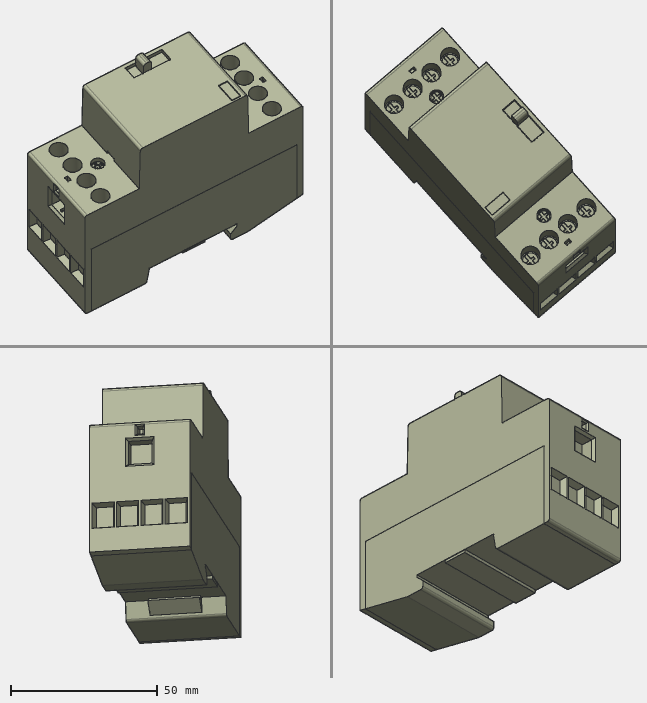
import cadquery as cq
LENGTH = 90.0
WIDTH = 35.0
TOTAL_HEIGHT = 74.6
HALF_LENGTH = LENGTH / 2
EDGE_RADIUS = 1.0

LEDGE_Z = 50.6
BLOCK_TOP_Z = 70.7
BLOCK_FOOT_Y = 22.6
BLOCK_TOP_Y = 22.1
BLOCK_RADIUS = 1.1

SLOPE_END_Z = 4.9
SLOPE_FOOT_Y = 22.3
HOOK_TIP_Y = 15.1
HOOK_TIP_Z = 3.2
HOOK_ROOT_Y = 17.8
HOOK_ROOT_Z = 5.85
SEAT_Z = 6.8
FOOT_TOP_Y = -18.4
FOOT_BOTTOM_Y = -19.5

WALL = 2.6
BASE_TOP_Z = 31.95
BASE_HALF_LENGTH = HALF_LENGTH - WALL

PAD_FOOT_Y = 4.6
PAD_ROOT_Y = 4.9
PAD_HEIGHT = 1.1
PAD_WIDTH = 34.65
LATCH_WIDTH = 18.0
LATCH_TIP_Y = -14.7
LATCH_NECK_Y = -16.5
LATCH_TOP_Z = 5.7
LATCH_HEEL_Y = -18.9
LATCH_HEEL_Z = 1.6

TERMINAL_COUNT = 4
TERMINAL_PITCH = 8.5
TERMINAL_Y = 35.4
TERMINAL_RADIUS = 3.2
TERMINAL_DEPTH = 7.2
TERMINAL_HEAD_RADIUS = 2.7
COIL_SCREW_Y = 27.8
COIL_SCREW_RADIUS = 2.4
COIL_SCREW_DEPTH = 1.4
COIL_HEAD_RADIUS = 2.0
HEAD_BEVEL = 0.4
SCREW_SLOT_WIDTH = 1.1
SCREW_SLOT_DEPTH = 0.7
CROSS_SLOT_WIDTH = 0.8
CROSS_SLOT_LENGTH = 3.2

WINDOW_WIDTH = 7.7
WINDOW_HEIGHT = 9.0
WINDOW_BOTTOM_Z = 13.3
WINDOW_TAPER = 0.9

COIL_WINDOW_SIZE = 10.1
COIL_WINDOW_Z = 39.9
COIL_FRAME_TAPER = 0.9
COIL_FRAME_DEPTH = 1.0
COIL_WINDOW_DEPTH = 5.4
FLOOR_SLOT_WIDTH = 1.1
FLOOR_SLOT_DEPTH = 1.1
FLOOR_SLOT_SETBACK = 2.1

CHANNEL_WIDTH = 2.1
CHANNEL_BOTTOM_Z = 46.3
CHANNEL_TOP_Z = 49.05
CHANNEL_DEPTH = 5.4
CHANNEL_FLOOR_RISE = 0.6
CHANNEL_FRAME_TAPER = 0.5
CHANNEL_FRAME_DEPTH = 0.5
CHANNEL_EXIT_LENGTH = 1.3

NOTCH_WIDTH = 4.05
NOTCH_HEIGHT = 1.0
NOTCH_DEPTH = 2.25

LABEL_X = 12.5
LABEL_Y = 18.1
LABEL_WIDTH = 8.1
LABEL_LENGTH = 3.6
LABEL_DEPTH = 0.4
LEVER_X = -13.3
LEVER_Y = 0.1
SLOT_WIDTH = 5.4
SLOT_LENGTH = 15.1
SLOT_Y = 1.9
SLOT_DEPTH = 1.4
LEVER_WIDTH = 4.9
LEVER_THICKNESS = 3.2
LEVER_RADIUS = 1.2


def slab(points, width):
    """Outline in the YZ plane, extruded symmetrically along X."""
    return cq.Workplane("YZ").polyline(points).close().extrude(width / 2, both=True)


def box(width, length, height, x, y, bottom_z):
    """Box centred on x and y, standing on bottom_z."""
    return (
        cq.Workplane("XY", origin=(x, y, bottom_z))
        .rect(width, length)
        .extrude(height)
    )


def with_mirror(tool):
    """The tool together with its mirror image at the +Y end."""
    return tool.union(tool.mirror("XZ"))


def end_taper(x, z, width, height, taper, depth):
    """Rectangular opening in the -Y wall that narrows by taper on each side over depth."""
    return (
        cq.Workplane("XZ", origin=(x, -HALF_LENGTH, z))
        .rect(width, height)
        .workplane(offset=-depth)
        .rect(width - 2 * taper, height - 2 * taper)
        .loft(ruled=True)
    )


def end_box(x, z, width, height, depth):
    """Rectangular pocket cut into the -Y wall."""
    return (
        cq.Workplane("XZ", origin=(x, -HALF_LENGTH, z))
        .rect(width, height)
        .extrude(-depth)
    )


def rounded_x_edge(body, y, z, radius):
    """Round the edge along X that runs through (y, z)."""
    return body.edges(cq.selectors.NearestToPointSelector((0, y, z))).fillet(radius)


def envelope():
    """Solid outer shape shared by the housing and the base."""
    outline = [
        (-HALF_LENGTH, 0),
        (-HALF_LENGTH, LEDGE_Z),
        (-BLOCK_FOOT_Y, LEDGE_Z),
        (-BLOCK_TOP_Y, BLOCK_TOP_Z),
        (BLOCK_TOP_Y, BLOCK_TOP_Z),
        (BLOCK_FOOT_Y, LEDGE_Z),
        (HALF_LENGTH, LEDGE_Z),
        (HALF_LENGTH, SLOPE_END_Z),
        (SLOPE_FOOT_Y, 0),
        (HOOK_TIP_Y, 0),
        (HOOK_TIP_Y, HOOK_TIP_Z),
        (HOOK_ROOT_Y, HOOK_ROOT_Z),
        (HOOK_ROOT_Y, SEAT_Z),
        (FOOT_TOP_Y, SEAT_Z),
        (FOOT_BOTTOM_Y, 0),
    ]
    body = slab(outline, WIDTH)
    for y, z, radius in (
        (-HALF_LENGTH, 0, EDGE_RADIUS),
        (-HALF_LENGTH, LEDGE_Z, EDGE_RADIUS),
        (HALF_LENGTH, LEDGE_Z, EDGE_RADIUS),
        (-BLOCK_TOP_Y, BLOCK_TOP_Z, BLOCK_RADIUS),
        (BLOCK_TOP_Y, BLOCK_TOP_Z, BLOCK_RADIUS),
        (HOOK_TIP_Y, 0, EDGE_RADIUS),
        (FOOT_BOTTOM_Y, 0, EDGE_RADIUS),
    ):
        body = rounded_x_edge(body, y, z, radius)
    return body


def base_space():
    """Region of the envelope that belongs to the base."""
    return box(WIDTH, 2 * BASE_HALF_LENGTH, BASE_TOP_Z, 0, 0, 0)


def screw_hole(x, y, radius, depth, head_radius):
    """Round hole from the ledge down onto a bevelled screw head with a slot and a cross slot."""
    floor_z = LEDGE_Z - depth
    hole = cq.Workplane("XY", origin=(x, y, floor_z)).circle(radius).extrude(depth)
    rim = cq.Workplane("XY", origin=(x, y, floor_z)).circle(radius).extrude(-HEAD_BEVEL)
    head = (
        cq.Workplane("XY", origin=(x, y, floor_z - HEAD_BEVEL))
        .circle(radius)
        .workplane(offset=HEAD_BEVEL)
        .circle(head_radius)
        .loft()
    )
    slot_z = floor_z - SCREW_SLOT_DEPTH
    slot = box(SCREW_SLOT_WIDTH, 2 * head_radius, SCREW_SLOT_DEPTH, x, y, slot_z)
    cross = box(CROSS_SLOT_LENGTH, CROSS_SLOT_WIDTH, SCREW_SLOT_DEPTH, x, y, slot_z)
    return hole.union(rim.cut(head)).union(slot).union(cross)


def terminal_positions():
    """X centres of the terminals, symmetric about the middle."""
    return [(i - (TERMINAL_COUNT - 1) / 2) * TERMINAL_PITCH for i in range(TERMINAL_COUNT)]


def coil_window():
    """Square window in the -Y wall: a bevelled frame and a straight pocket with a slot in its floor."""
    inner_size = COIL_WINDOW_SIZE - 2 * COIL_FRAME_TAPER
    frame = end_taper(
        0, COIL_WINDOW_Z, COIL_WINDOW_SIZE, COIL_WINDOW_SIZE, COIL_FRAME_TAPER, COIL_FRAME_DEPTH
    )
    pocket = end_box(0, COIL_WINDOW_Z, inner_size, inner_size, COIL_WINDOW_DEPTH)
    slot_length = COIL_WINDOW_DEPTH - FLOOR_SLOT_SETBACK
    slot = box(
        FLOOR_SLOT_WIDTH,
        slot_length,
        FLOOR_SLOT_DEPTH,
        0,
        COIL_WINDOW_DEPTH - slot_length / 2 - HALF_LENGTH,
        COIL_WINDOW_Z - inner_size / 2 - FLOOR_SLOT_DEPTH,
    )
    return frame.union(pocket).union(slot)


def hooked_channel():
    """Channel that enters the -Y wall through a bevelled frame and leaves through the ledge."""
    height = CHANNEL_TOP_Z - CHANNEL_BOTTOM_Z
    frame = end_taper(
        0,
        (CHANNEL_TOP_Z + CHANNEL_BOTTOM_Z) / 2,
        CHANNEL_WIDTH + 2 * CHANNEL_FRAME_TAPER,
        height + 2 * CHANNEL_FRAME_TAPER,
        CHANNEL_FRAME_TAPER,
        CHANNEL_FRAME_DEPTH,
    )
    back_y = CHANNEL_DEPTH - HALF_LENGTH
    exit_y = back_y - CHANNEL_EXIT_LENGTH
    passage = slab(
        [
            (-HALF_LENGTH, CHANNEL_BOTTOM_Z),
            (back_y, CHANNEL_BOTTOM_Z + CHANNEL_FLOOR_RISE),
            (back_y, LEDGE_Z),
            (exit_y, LEDGE_Z),
            (exit_y, CHANNEL_TOP_Z),
            (-HALF_LENGTH, CHANNEL_TOP_Z),
        ],
        CHANNEL_WIDTH,
    )
    return frame.union(passage)


def block_notch():
    """Shallow notch in the -Y face of the block, level with the ledge."""
    centre_y = -BLOCK_FOOT_Y + NOTCH_DEPTH / 2
    return box(NOTCH_WIDTH, NOTCH_DEPTH, NOTCH_HEIGHT, 0, centre_y, LEDGE_Z)


def make_housing():
    """Upper housing whose end walls reach down over both ends of the base."""
    body = envelope().cut(base_space())
    window_z = WINDOW_BOTTOM_Z + WINDOW_HEIGHT / 2
    for x in terminal_positions():
        screw = screw_hole(x, -TERMINAL_Y, TERMINAL_RADIUS, TERMINAL_DEPTH, TERMINAL_HEAD_RADIUS)
        window = end_taper(x, window_z, WINDOW_WIDTH, WINDOW_HEIGHT, WINDOW_TAPER, WALL)
        body = body.cut(with_mirror(screw)).cut(with_mirror(window))
    coil_screw = screw_hole(0, -COIL_SCREW_Y, COIL_SCREW_RADIUS, COIL_SCREW_DEPTH, COIL_HEAD_RADIUS)
    for tool in (coil_screw, coil_window(), hooked_channel()):
        body = body.cut(with_mirror(tool))
    body = body.cut(block_notch())
    label_z = BLOCK_TOP_Z - LABEL_DEPTH
    body = body.cut(box(LABEL_WIDTH, LABEL_LENGTH, LABEL_DEPTH, LABEL_X, LABEL_Y, label_z))
    slot_z = BLOCK_TOP_Z - SLOT_DEPTH
    return body.cut(box(SLOT_WIDTH, SLOT_LENGTH, SLOT_DEPTH, LEVER_X, SLOT_Y, slot_z))


def make_base():
    """Base with the rail seat, the fixed hook, the centre pad and the rail latch."""
    body = envelope().intersect(base_space())
    pad_z = SEAT_Z - PAD_HEIGHT
    pad = slab(
        [
            (-PAD_ROOT_Y, SEAT_Z),
            (-PAD_FOOT_Y, pad_z),
            (PAD_FOOT_Y, pad_z),
            (PAD_ROOT_Y, SEAT_Z),
        ],
        PAD_WIDTH,
    )
    latch = slab(
        [
            (LATCH_TIP_Y, LATCH_TOP_Z),
            (LATCH_NECK_Y, LATCH_TOP_Z),
            (LATCH_NECK_Y, SEAT_Z),
            (LATCH_HEEL_Y, SEAT_Z),
            (LATCH_HEEL_Y, LATCH_HEEL_Z),
        ],
        LATCH_WIDTH,
    )
    return body.union(pad).union(latch)


def make_lever():
    """Switch lever standing on the floor of its slot, with a rounded top."""
    bottom_z = BLOCK_TOP_Z - SLOT_DEPTH
    height = TOTAL_HEIGHT - bottom_z
    lever = box(LEVER_WIDTH, LEVER_THICKNESS, height, LEVER_X, LEVER_Y, bottom_z)
    return lever.edges("|X and >Z").fillet(LEVER_RADIUS)


housing = make_housing()
base = make_base()
lever = make_lever()

result = cq.Compound.makeCompound([body.solids().val() for body in (housing, base, lever)])